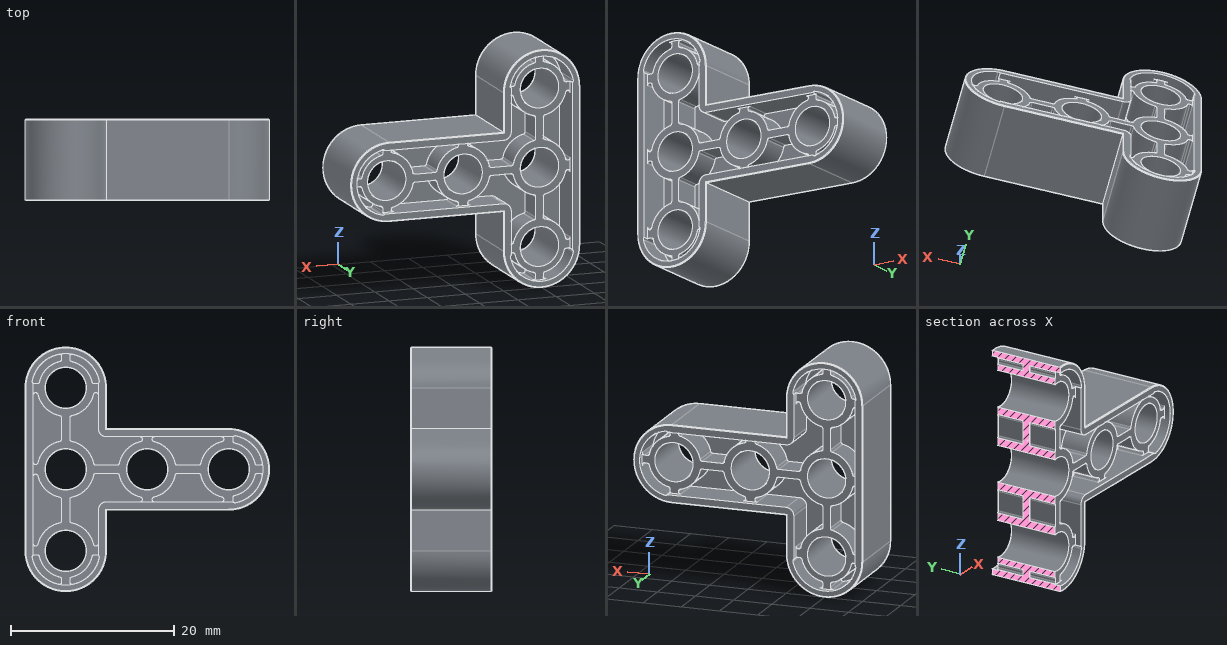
import cadquery as cq
import math


overall_length = 30.0
pitch = overall_length / 3
bar_half = pitch / 2
half_depth = pitch / 2
edge_chamfer = 0.1

hole_diameter = 5.0
wall = pitch / 10
ring_radius = hole_diameter / 2 + wall
end_ring_radius = 3.3
rib_half = wall / 2
side_rib_half = 0.6
cap_radius = 4.2

web_thickness = 1.0
recess_depth = 0.8
pocket_corner_radius = 0.285

web_half = web_thickness / 2
rib_face = half_depth - recess_depth
cavity_half = bar_half - wall

junction = (0, 0)
top_end = (0, pitch)
bottom_end = (0, -pitch)
arm_middle = (pitch, 0)
arm_end = (2 * pitch, 0)
hole_centers = [junction, top_end, bottom_end, arm_middle, arm_end]
round_ends = [(arm_end, 0), (top_end, 90), (bottom_end, -90)]


def plane_at(y):
    """XZ sketch plane at the given Y; a positive extrusion goes towards -Y."""
    return cq.Workplane("XZ", origin=(0, y, 0))


def block(x_min, x_max, z_min, z_max, y_front, y_back):
    """Rectangular block between two depths, given as distances in front of the mid-plane."""
    center = ((x_min + x_max) / 2, (z_min + z_max) / 2)
    sketch = plane_at(-y_back).pushPoints([center]).rect(x_max - x_min, z_max - z_min)
    return sketch.extrude(y_front - y_back)


def discs(centers, radius, y_front, y_back):
    """Round discs on the given centres between two depths in front of the mid-plane."""
    return plane_at(-y_back).pushPoints(centers).circle(radius).extrude(y_front - y_back)


def outer_body():
    body = block(-bar_half, bar_half, -pitch, pitch, half_depth, -half_depth)
    body = body.union(block(0, 2 * pitch, -bar_half, bar_half, half_depth, -half_depth))
    for center, _ in round_ends:
        body = body.union(discs([center], bar_half, half_depth, -half_depth))
    return body.faces("<Y or >Y").edges().chamfer(edge_chamfer)


def end_segment(center, angle, radius, y_front, y_back):
    """Disc segment beyond the wall ribs of a round end, pointing along the angle."""
    segment = discs([junction], radius, y_front, y_back)
    keep = block(rib_half, pitch, -pitch, pitch, y_front, y_back)
    segment = segment.intersect(keep)
    turned = segment.rotate((0, 0, 0), (0, -1, 0), angle)
    return turned.translate((center[0], 0, center[1]))


def straight_cavity(reach, y_front, y_back):
    """T-shaped cavity with flat walls, running the given reach past each end hole centre."""
    bar_end = pitch + reach
    arm_tip = 2 * pitch + reach
    bar = block(-cavity_half, cavity_half, -bar_end, bar_end, y_front, y_back)
    arm = block(0, arm_tip, -cavity_half, cavity_half, y_front, y_back)
    return bar.union(arm)


def is_inner_corner(edge):
    """True for the two edges where the cavity turns from the bar into the arm."""
    middle = edge.Center()
    offset = math.hypot(middle.x - cavity_half, abs(middle.z) - cavity_half)
    return offset < wall / 2


def round_inner_corners(cavity):
    edges = cavity.edges("|Y").filter(is_inner_corner)
    return cavity.newObject(edges.vals()).fillet(wall)


def rings_and_ribs():
    """Rings around the holes, ribs joining them and short ribs to the walls."""
    depths = (rib_face, web_half)
    arm_tip = 2 * pitch + bar_half
    bar_end = pitch + bar_half
    frame = discs(hole_centers, ring_radius, *depths)
    for center, angle in round_ends:
        frame = frame.cut(end_segment(center, angle, ring_radius, *depths))
        frame = frame.union(end_segment(center, angle, end_ring_radius, *depths))
    frame = frame.union(block(-rib_half, rib_half, -bar_end, bar_end, *depths))
    frame = frame.union(block(0, arm_tip, -rib_half, rib_half, *depths))
    frame = frame.union(block(-bar_half, 0, -side_rib_half, side_rib_half, *depths))
    middle_left = pitch - side_rib_half
    middle_right = pitch + side_rib_half
    frame = frame.union(block(middle_left, middle_right, -bar_half, bar_half, *depths))
    end_rib = block(-side_rib_half, rib_half, -bar_half, bar_half, *depths)
    for center, angle in round_ends:
        turned = end_rib.rotate((0, 0, 0), (0, -1, 0), angle)
        frame = frame.union(turned.translate((center[0], 0, center[1])))
    return frame


def recess():
    """Shallow cavity from the rim down to the faces of the rings and ribs."""
    depths = (half_depth, rib_face)
    cavity = round_inner_corners(straight_cavity(rib_half + pocket_corner_radius, *depths))
    for center, angle in round_ends:
        cap = end_segment(center, angle, cap_radius, *depths)
        cavity = cavity.union(cap.edges("|Y").fillet(pocket_corner_radius))
    return cavity


def pockets():
    """Pockets between the rings and ribs, from their faces down to the web."""
    depths = (rib_face, web_half)
    cavity = straight_cavity(rib_half, *depths)
    for center, angle in round_ends:
        cavity = cavity.union(end_segment(center, angle, cap_radius, *depths))
    cavity = cavity.cut(rings_and_ribs())
    corners = cavity.edges("|Y").filter(lambda edge: not is_inner_corner(edge))
    cavity = cavity.newObject(corners.vals()).fillet(pocket_corner_radius)
    return round_inner_corners(cavity)


result = outer_body()
for cavity in (recess(), pockets()):
    result = result.cut(cavity).cut(cavity.mirror("XZ"))
result = result.cut(discs(hole_centers, hole_diameter / 2, half_depth, -half_depth))